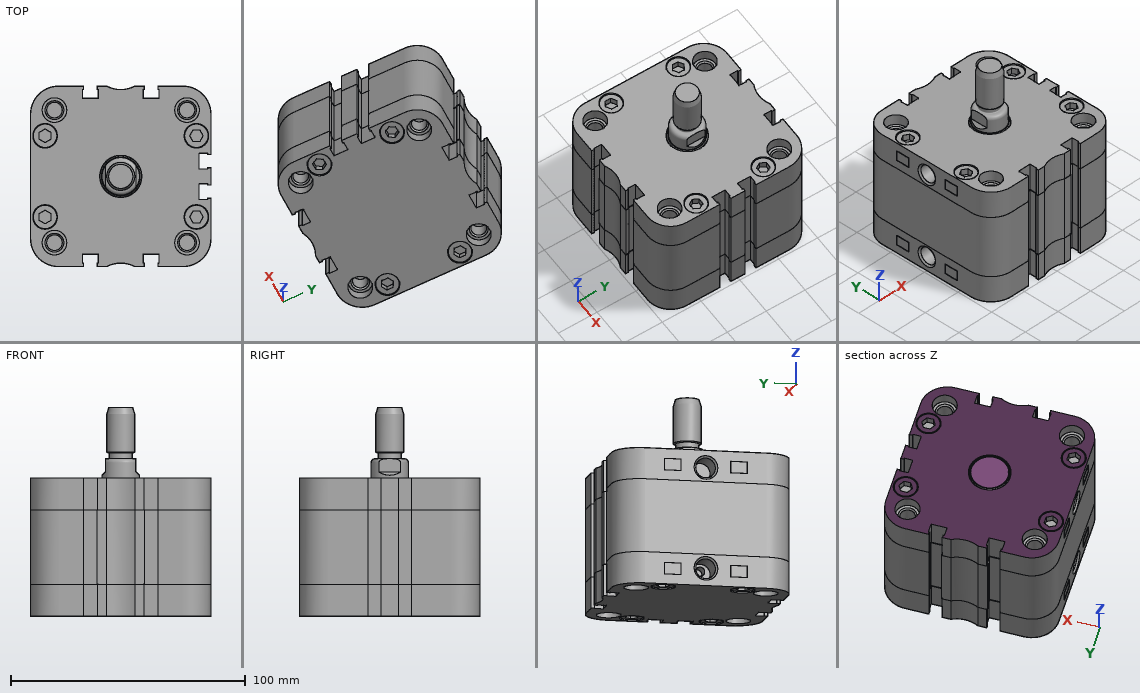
import cadquery as cq
import math

side = 77.0
half_side = side / 2
corner_radius = 12.0
body_height = 59.0
cap_height = 13.6
barrel_height = body_height - 2 * cap_height
overlap = 1.0

slot_mouth_width = 5.6
slot_inner_width = 6.6
slot_lip = 1.5
slot_depth = 5.1
side_slot_offset = 13.0
end_slot_offset = 6.5
cap_slot_clearance = 0.3

channel_width = 12.0
channel_radius = 13.0

bore_diameter = 63.0

mount_offset = 28.25
mount_counterbore_diameter = 10.5
mount_counterbore_depth = 5.2
mount_chamfer_diameter = 8.0
mount_core_diameter = 6.65

screw_x = 32.25
screw_y = 17.3
screw_recess_diameter = 10.5
screw_recess_depth = 0.5
screw_head_diameter = 10.0
screw_head_height = 6.0
hex_across_flats = 5.0
hex_depth = 3.0

port_from_end = 7.5
port_chamfer_diameter = 10.3
port_core_diameter = 8.57
port_depth = 12.0
duct_diameter = 4.0
duct_rise = 1.1
duct_depth = 6.0

label_width = 7.2
label_height = 5.0
label_depth = 0.2
label_offset = 14.4
label_from_end = 6.8

rod_diameter = 16.0
rod_top = 89.0
rod_fillet = 1.8
shoulder_top = 67.2
neck_diameter = 10.0
neck_top = 69.6
neck_fillet = 0.3
thread_diameter = 12.0
thread_bottom_diameter = 10.7
thread_bottom = 70.0
tip_diameter = 10.3
tip_length = 2.8
flats_width = 13.0
flats_bottom = 61.6

wiper_depth = 1.0
wiper_seat_diameter = 18.0
wiper_base_diameter = 17.7
wiper_lip_diameter = 16.54


def slot_cutter(height, growth=0.0):
    """T-slot opening toward +X with its mouth on the plane x = 0, centred on y = 0.

    The growth deepens the slot and widens it toward +Y.
    """
    bottom = -slot_depth - growth
    mouth_length = slot_lip + overlap
    inner_length = slot_depth + growth - slot_lip
    mouth = (
        cq.Workplane("XY")
        .box(mouth_length, slot_mouth_width + growth, height, centered=False)
        .translate((-slot_lip, -slot_mouth_width / 2, 0))
    )
    inner = (
        cq.Workplane("XY")
        .box(inner_length, slot_inner_width + growth, height, centered=False)
        .translate((bottom, -slot_inner_width / 2, 0))
    )
    return mouth.union(inner)


def channel_cutter(height):
    """Round bar whose edge dips into the -Y face."""
    axis_distance = math.sqrt(channel_radius**2 - (channel_width / 2) ** 2)
    return (
        cq.Workplane("XY")
        .center(0, -half_side - axis_distance)
        .circle(channel_radius)
        .extrude(height)
    )


def profile_block(height, slot_growth=0.0):
    """Rounded square block with sensor slots and channels, standing on z = 0."""
    block = cq.Workplane("XY").rect(side, side).extrude(height).edges("|Z").fillet(corner_radius)

    right_slot = (
        slot_cutter(height, slot_growth)
        .rotate((0, 0, 0), (0, 0, 1), -90)
        .mirror("YZ")
        .translate((side_slot_offset, -half_side, 0))
    )
    front_slots = right_slot.union(right_slot.mirror("YZ"))
    front_cutters = front_slots.union(channel_cutter(height))
    block = block.cut(front_cutters).cut(front_cutters.mirror("XZ"))

    for y in (-end_slot_offset, end_slot_offset):
        block = block.cut(slot_cutter(height).translate((half_side, y, 0)))
    return block


def mount_hole_cutter():
    counterbore_radius = mount_counterbore_diameter / 2
    chamfer_radius = mount_chamfer_diameter / 2
    core_radius = mount_core_diameter / 2
    seat = cap_height - mount_counterbore_depth
    chamfer_end = seat - (chamfer_radius - core_radius)
    return (
        cq.Workplane("XZ")
        .moveTo(0, 0)
        .lineTo(core_radius, 0)
        .lineTo(core_radius, chamfer_end)
        .lineTo(chamfer_radius, seat)
        .lineTo(counterbore_radius, seat)
        .lineTo(counterbore_radius, cap_height)
        .lineTo(0, cap_height)
        .close()
        .revolve(360, (0, 0, 0), (0, 1, 0))
    )


def screw_cutter(hex_angle):
    """Clearance around and above a screw head, plus the hex socket in it."""
    head_top = cap_height - screw_recess_depth
    recess_radius = screw_recess_diameter / 2
    recess = (
        cq.Workplane("XY").workplane(offset=head_top).circle(recess_radius).extrude(screw_recess_depth)
    )
    gap = (
        cq.Workplane("XY")
        .workplane(offset=head_top)
        .circle(recess_radius)
        .circle(screw_head_diameter / 2)
        .extrude(-screw_head_height)
    )
    across_corners = hex_across_flats / math.cos(math.pi / 6)
    socket = (
        cq.Workplane("XY")
        .workplane(offset=head_top)
        .polygon(6, across_corners)
        .extrude(-hex_depth)
        .rotate((0, 0, 0), (0, 0, 1), hex_angle)
    )
    return recess.union(gap).union(socket)


def port_cutter():
    """Blind port entering from the -X face, with a chamfered mouth."""
    mouth_radius = port_chamfer_diameter / 2
    core_radius = port_core_diameter / 2
    chamfer = mouth_radius - core_radius
    return (
        cq.Workplane("XY")
        .moveTo(0, 0)
        .lineTo(0, mouth_radius)
        .lineTo(chamfer, core_radius)
        .lineTo(port_depth, core_radius)
        .lineTo(port_depth, 0)
        .close()
        .revolve(360, (0, 0, 0), (1, 0, 0))
        .translate((-half_side, 0, cap_height - port_from_end))
    )


def label_pocket_cutter(y):
    return (
        cq.Workplane("XY")
        .box(2 * label_depth, label_width, label_height)
        .translate((-half_side, y, cap_height - label_from_end))
    )


def make_cap():
    """Cap with the features that both ends share, barrel side on z = 0."""
    cap = profile_block(cap_height, cap_slot_clearance)
    for x_sign in (-1, 1):
        hex_angle = 30 if x_sign < 0 else 0
        for y_sign in (-1, 1):
            mount_place = (x_sign * mount_offset, y_sign * mount_offset, 0)
            cap = cap.cut(mount_hole_cutter().translate(mount_place))
            screw_place = (x_sign * screw_x, y_sign * screw_y, 0)
            cap = cap.cut(screw_cutter(hex_angle).translate(screw_place))
    for y in (-label_offset, label_offset):
        cap = cap.cut(label_pocket_cutter(y))
    return cap.cut(port_cutter())


def make_bottom_cap():
    """Cap turned upside down, with an air duct at the end of its port."""
    cap = make_cap().rotate((0, 0, 0), (1, 0, 0), 180).translate((0, 0, cap_height))
    duct = (
        cq.Workplane("YZ")
        .workplane(offset=-half_side + port_depth)
        .center(0, port_from_end + duct_rise)
        .circle(duct_diameter / 2)
        .extrude(duct_depth)
    )
    return cap.cut(duct)


def make_barrel():
    barrel = profile_block(barrel_height)
    bore = cq.Workplane("XY").circle(bore_diameter / 2).extrude(barrel_height)
    return barrel.cut(bore).translate((0, 0, cap_height))


def wiper_gap():
    """Ring between the wiper seat and the conical outside of the lip."""
    gap_bottom = cap_height - wiper_depth
    return (
        cq.Workplane("XZ")
        .moveTo(wiper_lip_diameter / 2, cap_height)
        .lineTo(wiper_base_diameter / 2, gap_bottom)
        .lineTo(wiper_seat_diameter / 2, gap_bottom)
        .lineTo(wiper_seat_diameter / 2, cap_height)
        .close()
        .revolve(360, (0, 0, 0), (0, 1, 0))
    )


def make_top_cap():
    """Cap with the rod bore and the wiper around it."""
    cap = make_cap()
    cap = cap.cut(cq.Workplane("XY").circle(rod_diameter / 2).extrude(cap_height))
    cap = cap.cut(wiper_gap())
    return cap.translate((0, 0, body_height - cap_height))


def flat_cutter():
    """Wrench flat on the +X side, running out at 45 degrees at its lower end."""
    flat_x = flats_width / 2
    outer_x = rod_diameter / 2 + overlap
    runout_bottom = flats_bottom - (outer_x - flat_x)
    return (
        cq.Workplane("XZ")
        .moveTo(flat_x, shoulder_top)
        .lineTo(flat_x, flats_bottom)
        .lineTo(outer_x, runout_bottom)
        .lineTo(outer_x, shoulder_top)
        .close()
        .extrude(rod_diameter / 2, both=True)
    )


def make_rod():
    """Turned rod with wrench flats, undercut and plain thread cylinder."""
    rod_radius = rod_diameter / 2
    neck_radius = neck_diameter / 2
    arc_x = rod_radius - rod_fillet * (1 - math.cos(math.pi / 4))
    arc_z = shoulder_top - rod_fillet * (1 - math.sin(math.pi / 4))
    rod = (
        cq.Workplane("XZ")
        .moveTo(0, body_height - cap_height)
        .lineTo(rod_radius, body_height - cap_height)
        .lineTo(rod_radius, shoulder_top - rod_fillet)
        .threePointArc((arc_x, arc_z), (rod_radius - rod_fillet, shoulder_top))
        .lineTo(neck_radius + neck_fillet, shoulder_top)
        .radiusArc((neck_radius, shoulder_top + neck_fillet), neck_fillet)
        .lineTo(neck_radius, neck_top - neck_fillet)
        .radiusArc((neck_radius + neck_fillet, neck_top), neck_fillet)
        .lineTo(thread_bottom_diameter / 2, neck_top)
        .lineTo(thread_diameter / 2, thread_bottom)
        .lineTo(thread_diameter / 2, rod_top - tip_length)
        .lineTo(tip_diameter / 2, rod_top)
        .lineTo(0, rod_top)
        .close()
        .revolve(360, (0, 0, 0), (0, 1, 0))
    )
    flat = flat_cutter()
    return rod.cut(flat).cut(flat.mirror("YZ"))


bottom_cap = make_bottom_cap()
barrel = make_barrel()
top_cap = make_top_cap()
rod = make_rod()

result = cq.Compound.makeCompound([bottom_cap.val(), barrel.val(), top_cap.val(), rod.val()])